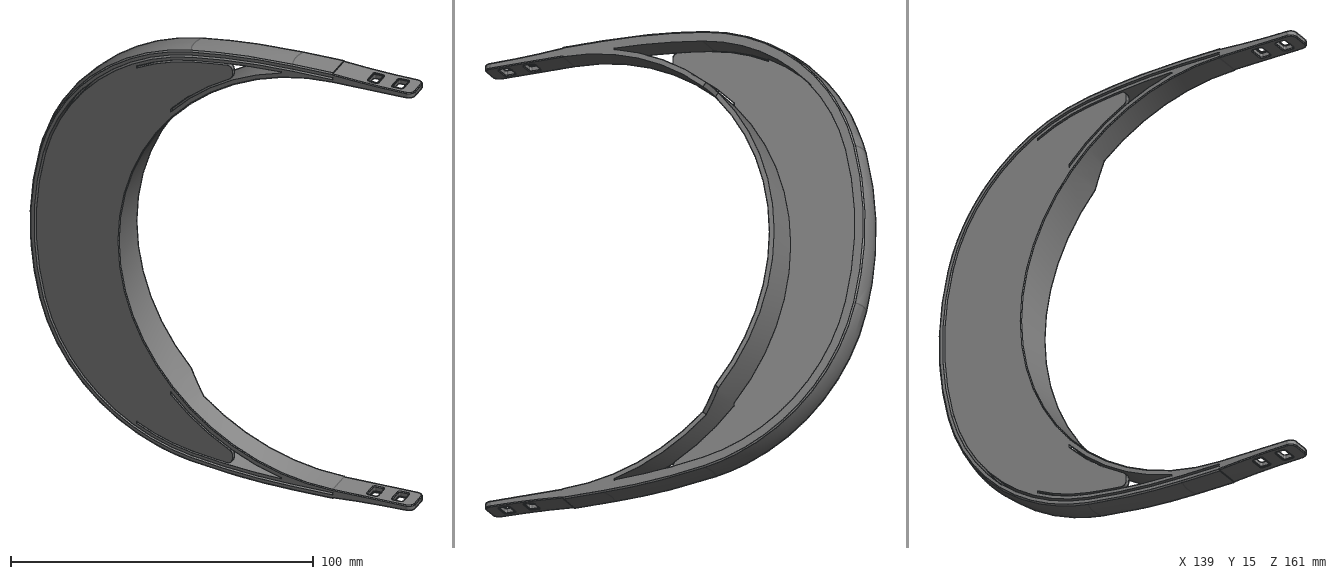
import cadquery as cq
import math


HALF_HEIGHT = 80.5
CROWN_X = -109.2
CROWN_RADIUS = 114.3
CROWN_ANGLE = 14.2
SHOULDER_RADIUS = 66.8
SHOULDER_ANGLE = 81.2

BAND_DEPTH = 10.0
BAND_THICKNESS = 3.5
BULGE_RISE = 1.0
EDGE_CHAMFER = 0.5
GROOVE_OFFSET = 1.6
GROOVE_WIDTH = 0.8
GROOVE_DEPTH = 8.0

HEAD_RADIUS = 77.0
HEAD_EDGE_CHAMFER = 0.3
HEAD_BAND_THICKNESS = 1.8
HEAD_BAND_RADIUS = HEAD_RADIUS + HEAD_BAND_THICKNESS
WALL_RISE = 5.0
WALL_BASE_ANGLE = 48.8
WALL_TOP_ANGLE = 42.0

PLATE_THICKNESS = 1.6
PLATE_TIP_X = -36.0
TIP_FILLET = 1.8
SLIT_WIDTH = 0.6
OUTER_SLIT_START_X = -70.5
INNER_SLIT_START_X = -58.3
OPENING_END_X = -18.5

STRAP_LENGTH = 28.8
STRAP_ROOT_HEIGHT = 80.2
STRAP_MID_X = 9.7
STRAP_MID_HEIGHT = 79.5
STRAP_END_HEIGHT = 79.0
STRAP_CORNER_RADIUS = 2.4
STRAP_CHAMFER = 0.3
HOLE_POSITIONS = (13.4, 22.4)
HOLE_LENGTH = 3.7
HOLE_HEIGHT = 5.8
HOLE_CORNER_RADIUS = 0.6
HOLE_CHAMFER = 0.3
HOLE_FLARE_ANGLE = 45

REACH = 2 * HALF_HEIGHT


def plane_at(y):
    """Workplane parallel to the front face at depth y (local x = X, local y = Z)."""
    return cq.Workplane("XZ", origin=(0, y, 0))


def point_on(center, radius, degrees):
    """Point on an arc, with the angle measured upward from the -X direction."""
    angle = math.radians(degrees)
    return (center[0] - radius * math.cos(angle), center[1] + radius * math.sin(angle))


def outline(y, inset=0.0, shift=0.0):
    """Closed outer outline, inset evenly, its arcs shifted toward -X."""
    crown_center = (CROWN_X - shift + CROWN_RADIUS, 0)
    shoulder_center = point_on(crown_center, CROWN_RADIUS - SHOULDER_RADIUS, CROWN_ANGLE)
    shoulder_sine = math.sin(math.radians(SHOULDER_ANGLE))
    height_left = HALF_HEIGHT - shoulder_center[1] - SHOULDER_RADIUS * shoulder_sine
    arm_radius = height_left / (1 - shoulder_sine)
    arm_center = point_on(shoulder_center, SHOULDER_RADIUS - arm_radius, SHOULDER_ANGLE)

    def mirrored(point):
        return (point[0], -point[1])

    arm_mid_angle = (SHOULDER_ANGLE + 90) / 2
    shoulder_mid_angle = (CROWN_ANGLE + SHOULDER_ANGLE) / 2
    arm_end = point_on(arm_center, arm_radius - inset, 90)
    arm_mid = point_on(arm_center, arm_radius - inset, arm_mid_angle)
    shoulder_end = point_on(shoulder_center, SHOULDER_RADIUS - inset, SHOULDER_ANGLE)
    shoulder_mid = point_on(shoulder_center, SHOULDER_RADIUS - inset, shoulder_mid_angle)
    crown_end = point_on(crown_center, CROWN_RADIUS - inset, CROWN_ANGLE)
    crown_tip = point_on(crown_center, CROWN_RADIUS - inset, 0)
    return (
        plane_at(y)
        .moveTo(0, HALF_HEIGHT - inset)
        .lineTo(*arm_end)
        .threePointArc(arm_mid, shoulder_end)
        .threePointArc(shoulder_mid, crown_end)
        .threePointArc(crown_tip, mirrored(crown_end))
        .threePointArc(mirrored(shoulder_mid), mirrored(shoulder_end))
        .threePointArc(mirrored(arm_mid), mirrored(arm_end))
        .lineTo(0, inset - HALF_HEIGHT)
        .close()
    )


def outline_prism(inset, depth):
    """Inset outline extruded back from the front face."""
    return outline(0, inset).extrude(-depth)


def head_half_disc(y, radius):
    """Outline of the half disc around the head, closed on X = 0."""
    return plane_at(y).moveTo(0, radius).threePointArc((-radius, 0), (0, -radius)).close()


def head_prism(radius, depth):
    """Half disc extruded back from the front face."""
    return head_half_disc(0, radius).extrude(-depth)


def head_edge_cutter():
    """Cone that chamfers the front edge of the head band and the plate."""
    front = head_half_disc(0, HEAD_RADIUS + HEAD_EDGE_CHAMFER).val()
    back = head_half_disc(HEAD_EDGE_CHAMFER, HEAD_RADIUS).val()
    return cq.Workplane(cq.Solid.makeLoft([front, back], True))


def slab(x_min, x_max):
    """Block between two X positions that spans the whole part."""
    return cq.Workplane("XY").box(x_max - x_min, REACH, 2 * REACH).translate(((x_min + x_max) / 2, 0, 0))


def solid_frame():
    """Band body whose outer side bulges smoothly at mid depth, with chamfered rims."""
    front = outline(0, inset=EDGE_CHAMFER).val()
    bulge_start = outline(EDGE_CHAMFER).val()
    bulge_peak = outline(BAND_DEPTH / 2, shift=BULGE_RISE).val()
    bulge_end = outline(BAND_DEPTH - EDGE_CHAMFER).val()
    back = outline(BAND_DEPTH, inset=EDGE_CHAMFER).val()
    front_rim = cq.Solid.makeLoft([front, bulge_start], True)
    bulge = cq.Solid.makeLoft([bulge_start, bulge_peak, bulge_end], False)
    back_rim = cq.Solid.makeLoft([bulge_end, back], True)
    body = cq.Workplane(bulge).union(cq.Workplane(front_rim)).union(cq.Workplane(back_rim))
    return body.cut(head_prism(HEAD_RADIUS, BAND_DEPTH))


def opening(depth):
    """Space between the outer band and the head band."""
    space = outline_prism(BAND_THICKNESS, depth).cut(head_prism(HEAD_BAND_RADIUS, depth))
    return space.intersect(slab(-REACH, OPENING_END_X))


def groove():
    """Narrow blind groove along the outer band, cut from the front face."""
    outer = outline_prism(GROOVE_OFFSET, GROOVE_DEPTH)
    return outer.cut(outline_prism(GROOVE_OFFSET + GROOVE_WIDTH, GROOVE_DEPTH))


def plate():
    """Crescent flush with the front face, its tips freed from both bands by slits."""
    outer_slit = outline_prism(BAND_THICKNESS, PLATE_THICKNESS)
    outer_slit = outer_slit.cut(outline_prism(BAND_THICKNESS + SLIT_WIDTH, PLATE_THICKNESS))
    inner_slit = head_prism(HEAD_BAND_RADIUS + SLIT_WIDTH, PLATE_THICKNESS)
    crescent = opening(PLATE_THICKNESS).intersect(slab(-REACH, PLATE_TIP_X))
    crescent = crescent.cut(outer_slit.intersect(slab(OUTER_SLIT_START_X, 0)))
    crescent = crescent.cut(inner_slit.intersect(slab(INNER_SLIT_START_X, 0)))
    return crescent.faces(">X").edges("|Y").fillet(TIP_FILLET)


def raised_wall():
    """Head band continued above the back face, with both ends sloping down."""
    top = BAND_DEPTH + WALL_RISE
    ring = plane_at(BAND_DEPTH).circle(HEAD_BAND_RADIUS).circle(HEAD_RADIUS).extrude(-WALL_RISE)
    slope_run = HEAD_BAND_RADIUS * math.tan(math.radians(WALL_BASE_ANGLE - WALL_TOP_ANGLE))
    beyond_end = (
        cq.Workplane("YZ", origin=(-REACH, 0, 0))
        .polyline([(BAND_DEPTH, 0), (top, -slope_run), (top, REACH), (BAND_DEPTH, REACH)])
        .close()
        .extrude(REACH)
        .rotate((0, 0, 0), (0, 1, 0), WALL_BASE_ANGLE)
    )
    wall = ring.intersect(slab(-REACH, 0))
    return wall.cut(beyond_end).cut(beyond_end.mirror("XY"))


def strap():
    """Upper strap: hollowed outside, rounded end, two chamfered slots."""
    body = (
        plane_at(0)
        .moveTo(0, HEAD_RADIUS)
        .lineTo(0, STRAP_ROOT_HEIGHT)
        .threePointArc((STRAP_MID_X, STRAP_MID_HEIGHT), (STRAP_LENGTH, STRAP_END_HEIGHT))
        .lineTo(STRAP_LENGTH, HEAD_RADIUS)
        .close()
        .extrude(-BAND_DEPTH)
    )
    body = body.faces(">X").edges("|Z").fillet(STRAP_CORNER_RADIUS)
    body = body.edges("not(|Z or <X)").chamfer(STRAP_CHAMFER)
    for x in HOLE_POSITIONS:
        body = body.cut(strap_hole(x))
    return body


def strap_hole(x):
    """Rounded slot through the strap, flared where it meets the inner and outer faces."""
    def section(z, flare):
        sketch = cq.Sketch().rect(HOLE_LENGTH + 2 * flare, HOLE_HEIGHT + 2 * flare)
        sketch = sketch.vertices().fillet(HOLE_CORNER_RADIUS + flare)
        return cq.Workplane("XY", origin=(x, BAND_DEPTH / 2, z)).placeSketch(sketch)

    hole = section(HEAD_RADIUS, 0).extrude(STRAP_ROOT_HEIGHT - HEAD_RADIUS)
    inner_flare = section(HEAD_RADIUS, HOLE_CHAMFER).extrude(HOLE_CHAMFER, taper=HOLE_FLARE_ANGLE)
    outer_flare = section(STRAP_END_HEIGHT, HOLE_CHAMFER).extrude(-HOLE_CHAMFER, taper=HOLE_FLARE_ANGLE)
    return hole.union(inner_flare).union(outer_flare)


upper_strap = strap()
result = (
    solid_frame()
    .cut(opening(BAND_DEPTH))
    .cut(groove())
    .cut(head_edge_cutter())
    .union(plate())
    .union(raised_wall())
    .union(upper_strap)
    .union(upper_strap.mirror("XY"))
)